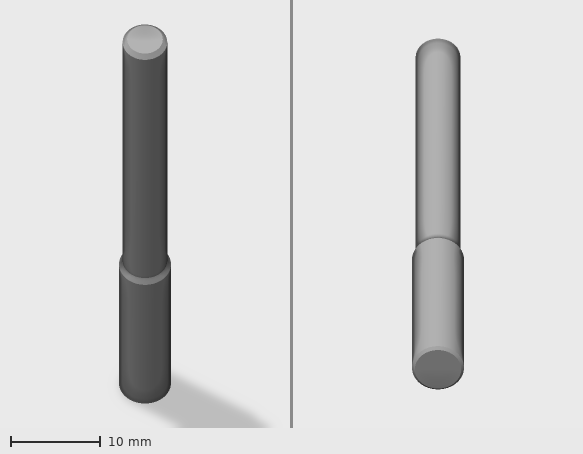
import cadquery as cq
import math

TOTAL_LENGTH = 63.0
SHAFT_DIAMETER = 5.0
BASE_DIAMETER = 5.8

JOINT_HEIGHT = 22.7

TIP_CHAMFER = 0.5
BOTTOM_CHAMFER = 0.3
TAPER_ANGLE = 30.0

TAPER_WIDTH = (BASE_DIAMETER - SHAFT_DIAMETER) / 2
TAPER_HEIGHT = TAPER_WIDTH / math.tan(math.radians(TAPER_ANGLE))


def make_base():
    """Thicker lower cylinder with a tapered shoulder and a chamfered bottom."""
    base = cq.Workplane("XY").circle(BASE_DIAMETER / 2).extrude(JOINT_HEIGHT)
    base = base.faces("<Z").chamfer(BOTTOM_CHAMFER)
    return base.faces(">Z").edges().chamfer(TAPER_HEIGHT, TAPER_WIDTH)


def make_shaft():
    """Slender upper cylinder with a chamfered tip."""
    shaft = (
        cq.Workplane("XY")
        .workplane(offset=JOINT_HEIGHT)
        .circle(SHAFT_DIAMETER / 2)
        .extrude(TOTAL_LENGTH - JOINT_HEIGHT)
    )
    return shaft.faces(">Z").chamfer(TIP_CHAMFER)


base = make_base()
shaft = make_shaft()

result = cq.Compound.makeCompound([base.val(), shaft.val()])